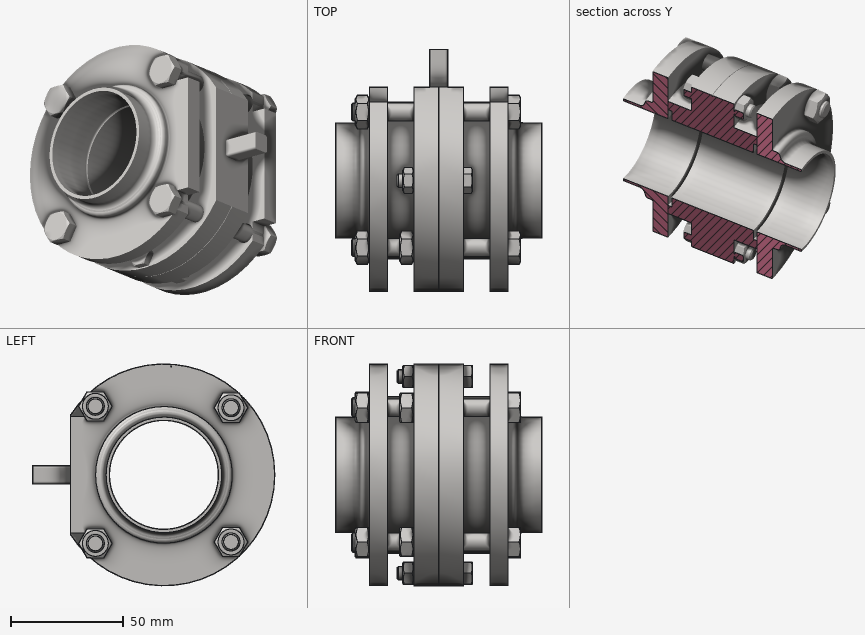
import cadquery as cq
import math


overall_length = 92.0
overall_width = 108.1
flange_diameter = 99.0
bore_diameter = 48.5
flat_y = 41.7

half_length = overall_length / 2
flange_radius = flange_diameter / 2
stem_end_y = overall_width - flange_radius

flange_thickness = 8.1
flange_outer_x = 30.9
flange_inner_x = flange_outer_x - flange_thickness
shoulder_y = 35.0
tab_half_height = 26.0
rod_hole_diameter = 9.0

pipe_diameter = 51.6
pipe_radius = pipe_diameter / 2
flare_start_x = 37.9
flare_end_x = 35.1
flare_end_radius = 28.1
crown_start_x = 34.8
crown_start_radius = 28.9
crown_end_x = 33.0
hub_diameter = 61.0
hub_radius = hub_diameter / 2
hub_fillet = 0.8

plates_width = 22.3
half_plates = plates_width / 2
joint_width = 0.2
joint_depth = 0.6
core_diameter = 70.0
seat_diameter = 59.5
seat_depth = 1.6
stem_size = 8.2
stem_edge_radius = 1.1
stem_root = 5.4

rod_near_offset = 29.9
rod_far_offset = 30.6
rod_diameter = 8.0
rod_tip_diameter = 6.6
rod_end_x = 38.9
rod_flats = 13.0
rod_nut_height = 6.4
rod_head_height = 5.6

bolt_offset_z = 43.9
bolt_diameter = 6.0
bolt_tip_diameter = 4.9
bolt_end_x = 18.6
bolt_flats = 9.9
bolt_nut_height = 5.0
bolt_head_height = 3.9

nut_crown_ratio = 0.89
head_crown_ratio = 0.97
bevel_angle = 30.0


def bar(diameter, x_start, x_end, y=0.0, z=0.0):
    """Round bar along X."""
    plane = cq.Workplane("YZ", origin=(x_start, y, z))
    return plane.circle(diameter / 2).extrude(x_end - x_start)


def block(x_range, y_range, z_range):
    """Block given by its X, Y and Z limits."""
    sizes = [high - low for low, high in (x_range, y_range, z_range)]
    corner = (x_range[0], y_range[0], z_range[0])
    return cq.Workplane("XY").box(*sizes, centered=False).translate(corner)


def above_flat(x_start, x_end):
    """Material to remove beyond the +Y flat."""
    return block((x_start, x_end), (flat_y, flange_radius), (-flange_radius, flange_radius))


def corner_bevel(flats, height, crown_ratio, both_ends):
    """Turned envelope whose cones bevel the corners of a hexagon at +X, or at both ends."""
    corner_radius = flats / math.sqrt(3)
    crown_radius = crown_ratio * flats / 2
    bevel_length = (corner_radius - crown_radius) * math.tan(math.radians(bevel_angle))
    points = [(height, 0), (height, crown_radius), (height - bevel_length, corner_radius)]
    if both_ends:
        points += [(bevel_length, corner_radius), (0, crown_radius)]
    else:
        points += [(0, corner_radius)]
    points += [(0, 0)]
    return cq.Workplane("XY").polyline(points).close().revolve(360, (0, 0, 0), (1, 0, 0))


def hexagon(flats, height, crown_ratio, both_ends):
    """Bevelled hexagon from X = 0 to its height, with flats facing up and down."""
    prism = cq.Workplane("YZ").polygon(6, 2 * flats / math.sqrt(3)).extrude(height)
    return prism.intersect(corner_bevel(flats, height, crown_ratio, both_ends))


def nut(flats, height, face_x, y, z):
    """Nut whose +X end sits against a face."""
    return hexagon(flats, height, nut_crown_ratio, True).translate((face_x - height, y, z))


def head(flats, height, face_x, y, z):
    """Bolt head whose -X end sits against a face."""
    return hexagon(flats, height, head_crown_ratio, False).translate((face_x, y, z))


def shank(diameter, tip_diameter, x_tip, x_end, y, z):
    """Bolt shank with a 45 degree point at its -X end."""
    point_length = (diameter - tip_diameter) / 2
    return bar(diameter, x_tip, x_end, y, z).faces("<X").chamfer(point_length)


def rod_positions():
    """Y and Z of the four tie rods."""
    offsets = ((-1, rod_near_offset), (1, rod_far_offset))
    return [(side * offset, level * offset) for side, offset in offsets for level in (-1, 1)]


def flange_plate():
    """Round plate whose +Y side narrows to a tab with a flat end."""
    x_range = (-flange_outer_x, -flange_inner_x)
    plate = bar(flange_diameter, *x_range).cut(above_flat(*x_range))
    rim_y = (shoulder_y, flange_radius)
    plate = plate.cut(block(x_range, rim_y, (tab_half_height, flange_radius)))
    return plate.cut(block(x_range, rim_y, (-flange_radius, -tab_half_height)))


def arc_middle(start, end, corner):
    """Middle point of a quarter-round whose end tangents meet at the corner."""
    along = math.sqrt(0.5)
    centers = [a + b - c for a, b, c in zip(start, end, corner)]
    return tuple(center + (c - center) * along for center, c in zip(centers, corner))


def weld_neck():
    """Solid neck: straight pipe, flare, rounded shoulder and hub, down to the inner flange face."""
    flare_start = (-flare_start_x, pipe_radius)
    flare_end = (-flare_end_x, flare_end_radius)
    crown_start = (-crown_start_x, crown_start_radius)
    crown_end = (-crown_end_x, hub_radius)
    fillet_start = (-flange_outer_x - hub_fillet, hub_radius)
    fillet_end = (-flange_outer_x, hub_radius + hub_fillet)
    profile = (
        cq.Workplane("XY")
        .moveTo(-half_length, 0)
        .lineTo(-half_length, pipe_radius)
        .lineTo(*flare_start)
        .threePointArc(arc_middle(flare_start, flare_end, (-flare_end_x, pipe_radius)), flare_end)
        .lineTo(*crown_start)
        .threePointArc(arc_middle(crown_start, crown_end, (-crown_start_x, hub_radius)), crown_end)
        .lineTo(*fillet_start)
        .threePointArc(arc_middle(fillet_start, fillet_end, (-flange_outer_x, hub_radius)), fillet_end)
        .lineTo(-flange_inner_x, hub_radius + hub_fillet)
        .lineTo(-flange_inner_x, 0)
        .close()
    )
    return profile.revolve(360, (0, 0, 0), (1, 0, 0))


def weld_flange():
    """Flange plate and neck with the bore and the rod holes."""
    flange = flange_plate().union(weld_neck())
    flange = flange.cut(bar(bore_diameter, -half_length, -flange_inner_x))
    for y, z in rod_positions():
        flange = flange.cut(bar(rod_hole_diameter, -flange_outer_x, -flange_inner_x, y, z))
    return flange


def middle_plates():
    """Pair of plates with a +Y flat and a thin groove around their joint."""
    plates = bar(flange_diameter, -half_plates, half_plates)
    joint = bar(flange_diameter, -joint_width / 2, joint_width / 2)
    joint = joint.cut(bar(flange_diameter - 2 * joint_depth, -joint_width / 2, joint_width / 2))
    return plates.cut(joint).cut(above_flat(-half_plates, half_plates))


def cut_bore(body):
    """Remove the bore and the seat recess in each end of the core."""
    body = body.cut(bar(bore_diameter, -flange_inner_x, flange_inner_x))
    seat = bar(seat_diameter, -flange_inner_x, -flange_inner_x + seat_depth)
    return body.cut(seat).cut(seat.mirror("YZ"))


def stem():
    """Square stem with rounded long edges."""
    half = stem_size / 2
    square = block((-half, half), (flat_y - stem_root, stem_end_y), (-half, half))
    return square.edges("|Y").fillet(stem_edge_radius)


def tie_rod(y, z):
    """Rod through both flanges with an end nut and a head; rods on the -Y side also have a middle nut."""
    rod = shank(rod_diameter, rod_tip_diameter, -rod_end_x, flange_outer_x, y, z)
    rod = rod.union(nut(rod_flats, rod_nut_height, -flange_outer_x, y, z))
    rod = rod.union(head(rod_flats, rod_head_height, flange_outer_x, y, z))
    if y < 0:
        rod = rod.union(nut(rod_flats, rod_nut_height, -half_plates, y, z))
    return rod


def plate_bolt(z):
    """Bolt with nut and head that holds the two plates together."""
    bolt = shank(bolt_diameter, bolt_tip_diameter, -bolt_end_x, half_plates, 0, z)
    bolt = bolt.union(nut(bolt_flats, bolt_nut_height, -half_plates, 0, z))
    return bolt.union(head(bolt_flats, bolt_head_height, half_plates, 0, z))


def valve():
    """Core and plates with the stem, tie rods and plate bolts."""
    body = middle_plates().union(bar(core_diameter, -flange_inner_x, flange_inner_x))
    body = cut_bore(body).union(stem())
    for y, z in rod_positions():
        body = body.union(tie_rod(y, z))
    for z in (-bolt_offset_z, bolt_offset_z):
        body = body.union(plate_bolt(z))
    return body


left_flange = weld_flange().solids()
right_flange = left_flange.mirror("YZ").solids()
valve_body = valve().solids()

result = cq.Compound.makeCompound([left_flange.val(), right_flange.val(), valve_body.val()])